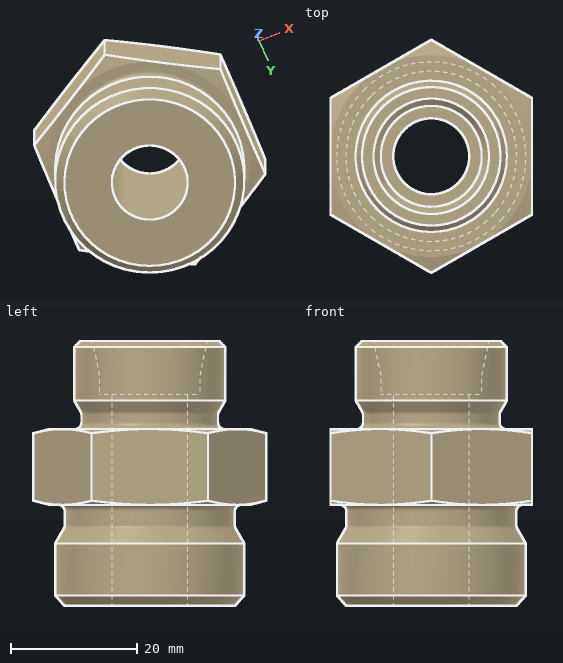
import cadquery as cq
import math

total_height = 42.0
hex_bottom = 16.0
hex_height = 12.0
hex_top = hex_bottom + hex_height

across_flats = 32.0
across_corners = across_flats / math.cos(math.radians(30))
hex_chamfer_angle = 15.0

lower_diameter = 30.0
lower_groove_diameter = 27.0
lower_shoulder = 9.9
lower_chamfer_height = 1.65
lower_chamfer_width = 1.45

upper_diameter = 24.0
upper_groove_diameter = 21.7
upper_shoulder = 32.5
upper_chamfer = 1.0

undercut_angle = 30.0
undercut_fillet = 1.0

bore_diameter = 12.0
socket_diameter = 16.0
socket_depth = 8.5
mouth_diameter = 18.3
mouth_half_angle = 12.0


def cone_length(large_diameter, small_diameter, half_angle):
    """Axial length of a cone with the given slope from the axis."""
    return (large_diameter - small_diameter) / 2 / math.tan(math.radians(half_angle))


def make_stud(diameter, groove_diameter, end, chamfer_width, chamfer_height, shoulder, hex_face):
    """Revolved stud running from its free end to the face of the hexagon."""
    toward_hex = math.copysign(1, hex_face - end)
    radius = diameter / 2
    groove_radius = groove_diameter / 2
    cone_end = shoulder + toward_hex * cone_length(diameter, groove_diameter, undercut_angle)
    slope = math.radians(undercut_angle)
    tangent_length = undercut_fillet * math.tan(slope / 2)
    blend_start = (
        groove_radius + tangent_length * math.sin(slope),
        cone_end - toward_hex * tangent_length * math.cos(slope),
    )
    blend_end = (groove_radius, cone_end + toward_hex * tangent_length)
    blend_middle = (
        groove_radius + undercut_fillet * (1 - math.cos(slope / 2)),
        blend_end[1] - toward_hex * undercut_fillet * math.sin(slope / 2),
    )
    fillet_start = hex_face - toward_hex * undercut_fillet
    arc_offset = undercut_fillet * (1 - math.sqrt(0.5))
    arc_middle = (groove_radius + arc_offset, hex_face - toward_hex * arc_offset)
    return (
        cq.Workplane("XZ")
        .moveTo(0, end)
        .lineTo(radius - chamfer_width, end)
        .lineTo(radius, end + toward_hex * chamfer_height)
        .lineTo(radius, shoulder)
        .lineTo(*blend_start)
        .threePointArc(blend_middle, blend_end)
        .lineTo(groove_radius, fillet_start)
        .threePointArc(arc_middle, (groove_radius + undercut_fillet, hex_face))
        .lineTo(0, hex_face)
        .close()
        .revolve(360, (0, 0, 0), (0, 1, 0))
    )


def make_hexagon():
    """Hexagon with corners on the Y axis, chamfered at both ends."""
    prism = (
        cq.Workplane("XY")
        .workplane(offset=hex_bottom)
        .polygon(6, across_corners)
        .extrude(hex_height)
        .rotate((0, 0, 0), (0, 0, 1), 90)
    )
    flat_radius = across_flats / 2
    corner_radius = across_corners / 2
    corner_drop = (corner_radius - flat_radius) * math.tan(math.radians(hex_chamfer_angle))
    envelope = (
        cq.Workplane("XZ")
        .moveTo(0, hex_bottom)
        .lineTo(flat_radius, hex_bottom)
        .lineTo(corner_radius, hex_bottom + corner_drop)
        .lineTo(corner_radius, hex_top - corner_drop)
        .lineTo(flat_radius, hex_top)
        .lineTo(0, hex_top)
        .close()
        .revolve(360, (0, 0, 0), (0, 1, 0))
    )
    return prism.intersect(envelope)


def make_bore():
    """Through bore with a tapered mouth and a stepped socket at the top."""
    mouth_bottom = total_height - cone_length(mouth_diameter, socket_diameter, mouth_half_angle)
    socket_bottom = total_height - socket_depth
    return (
        cq.Workplane("XZ")
        .lineTo(bore_diameter / 2, 0)
        .lineTo(bore_diameter / 2, socket_bottom)
        .lineTo(socket_diameter / 2, socket_bottom)
        .lineTo(socket_diameter / 2, mouth_bottom)
        .lineTo(mouth_diameter / 2, total_height)
        .lineTo(0, total_height)
        .close()
        .revolve(360, (0, 0, 0), (0, 1, 0))
    )


lower_stud = make_stud(
    lower_diameter, lower_groove_diameter, 0,
    lower_chamfer_width, lower_chamfer_height, lower_shoulder, hex_bottom,
)
upper_stud = make_stud(
    upper_diameter, upper_groove_diameter, total_height,
    upper_chamfer, upper_chamfer, upper_shoulder, hex_top,
)
result = make_hexagon().union(lower_stud).union(upper_stud).cut(make_bore())